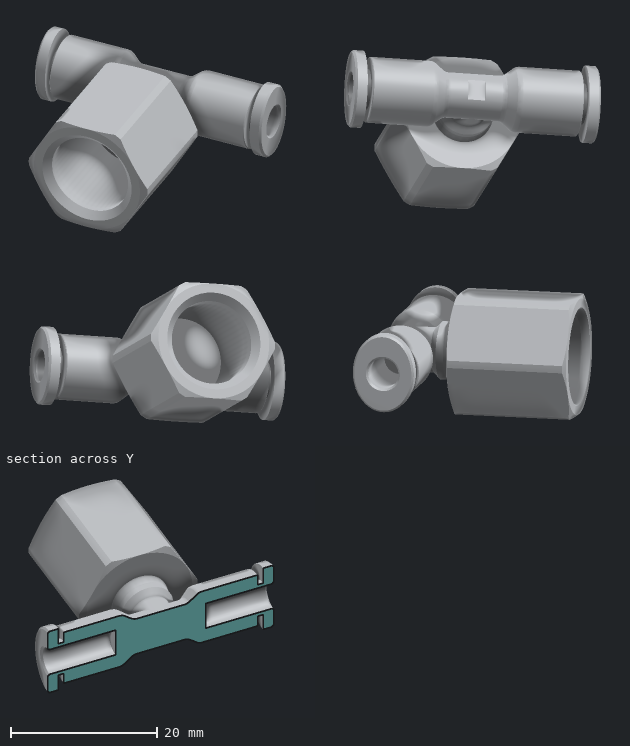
import cadquery as cq
import math


run_length = 34.2
socket_radius = 4.5
socket_end = 14.67
socket_edge_chamfer = 0.1
shoulder_outer = 5.8
shoulder_inner = 4.0
shoulder_round = 1.1
waist_round = 1.0
waist_radius = 3.1
edge_tolerance = 0.017

notch_width = 2.4
notch_floor = 2.77

collar_half_y = 4.28
collar_half_z = 5.4
collar_thickness = 1.65
collar_chamfer = 0.27
neck_radius = 2.8
tube_bore_radius = 2.12
tube_bore_depth = 10.25
tube_bore_chamfer = 0.27

stem_cone_start = 3.5
stem_cone_end = 4.38
stem_collar_radius = stem_cone_end - stem_cone_start + waist_radius
stem_taper_start = 5.4
stem_foot_start = 6.55
stem_foot_radius = 4.25

hex_flats = 16.0
hex_corner_radius = 8.95
hex_start = 6.8
overall_depth = 28.1
hex_end = overall_depth - socket_radius
hex_chamfer = 0.35
hex_face_radius = hex_flats / 2
port_radius = 5.75
port_mouth_radius = 6.75
port_mouth_depth = port_mouth_radius - port_radius
port_depth = 13.68


def edges_at(body, distance):
    """Circular edges of the run at the given distance on either side of the centre."""
    return body.edges("%CIRCLE").filter(lambda edge: abs(abs(edge.Center().x) - distance) < edge_tolerance)


def run_body():
    """Two sockets joined by a waist, turned about X with rounded shoulders."""
    profile = (
        cq.Workplane("XY")
        .moveTo(-socket_end, 0)
        .lineTo(-socket_end, socket_radius)
        .lineTo(-shoulder_outer, socket_radius)
        .lineTo(-shoulder_inner, waist_radius)
        .lineTo(shoulder_inner, waist_radius)
        .lineTo(shoulder_outer, socket_radius)
        .lineTo(socket_end, socket_radius)
        .lineTo(socket_end, 0)
        .close()
    )
    body = profile.revolve(360, (0, 0, 0), (1, 0, 0))
    body = body.faces("<X or >X").edges().chamfer(socket_edge_chamfer)

    body = edges_at(body, shoulder_outer).fillet(shoulder_round)
    return edges_at(body, shoulder_inner).fillet(waist_round)


def back_notch():
    """Shallow rectangular cut across the +Y side of the waist."""
    depth = waist_radius - notch_floor
    cutter = cq.Workplane("XY").box(notch_width, 2 * depth, 2 * waist_radius)
    return cutter.translate((0, waist_radius, 0))


def release_collar():
    """Oval collar and round neck at the -X end."""
    collar = (
        cq.Workplane("YZ", origin=(-run_length / 2, 0, 0))
        .ellipse(collar_half_y, collar_half_z)
        .extrude(collar_thickness)
        .faces("<X")
        .edges()
        .chamfer(collar_chamfer)
    )
    neck_length = run_length / 2 - socket_end
    neck = cq.Workplane("YZ", origin=(-run_length / 2, 0, 0)).circle(neck_radius).extrude(neck_length)
    return collar.union(neck)


def tube_bore():
    """Blind tube bore with a chamfered mouth, entering from the -X end."""
    end = -run_length / 2
    return (
        cq.Workplane("XY")
        .moveTo(end, 0)
        .lineTo(end, tube_bore_radius + tube_bore_chamfer)
        .lineTo(end + tube_bore_chamfer, tube_bore_radius)
        .lineTo(end + tube_bore_depth, tube_bore_radius)
        .lineTo(end + tube_bore_depth, 0)
        .close()
        .revolve(360, (0, 0, 0), (1, 0, 0))
    )


def stem():
    """Turned stem from the run axis to the hex."""
    return (
        cq.Workplane("XY")
        .moveTo(0, 0)
        .lineTo(waist_radius, 0)
        .lineTo(waist_radius, -stem_cone_start)
        .lineTo(stem_collar_radius, -stem_cone_end)
        .lineTo(stem_collar_radius, -stem_taper_start)
        .lineTo(stem_foot_radius, -stem_foot_start)
        .lineTo(stem_foot_radius, -hex_start)
        .lineTo(0, -hex_start)
        .close()
        .revolve(360, (0, 0, 0), (0, 1, 0))
    )


def hex_socket():
    """Hex bar trimmed by a turned blank with chamfered ends."""
    across_corners = hex_flats / math.cos(math.pi / 6)
    bar = (
        cq.Workplane("XZ", origin=(0, -hex_start, 0))
        .polygon(6, across_corners)
        .extrude(hex_end - hex_start)
    )
    blank = (
        cq.Workplane("XY")
        .moveTo(0, -hex_start)
        .lineTo(hex_face_radius, -hex_start)
        .lineTo(hex_corner_radius, -hex_start - hex_chamfer)
        .lineTo(hex_corner_radius, -hex_end + hex_chamfer)
        .lineTo(hex_face_radius, -hex_end)
        .lineTo(0, -hex_end)
        .close()
        .revolve(360, (0, 0, 0), (0, 1, 0))
    )
    return bar.intersect(blank)


def port():
    """Blind branch port bore with a countersunk mouth."""
    return (
        cq.Workplane("XY")
        .moveTo(0, -hex_end)
        .lineTo(port_mouth_radius, -hex_end)
        .lineTo(port_radius, -hex_end + port_mouth_depth)
        .lineTo(port_radius, -hex_end + port_depth)
        .lineTo(0, -hex_end + port_depth)
        .close()
        .revolve(360, (0, 0, 0), (0, 1, 0))
    )


def both_ends(feature):
    """The feature at the -X end together with its mirror image at the +X end."""
    return feature.union(feature.mirror("YZ"))


result = (
    run_body()
    .cut(back_notch())
    .union(both_ends(release_collar()))
    .union(stem())
    .union(hex_socket())
    .cut(both_ends(tube_bore()))
    .cut(port())
)